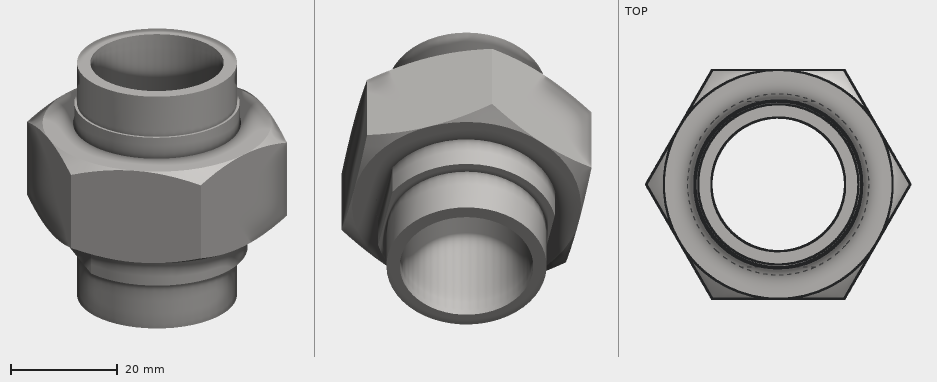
import cadquery as cq
import math


bore_diameter = 25.0
pipe_diameter = 30.0
body_diameter = 34.0
across_body_flats = 31.0

collar_diameter = across_body_flats
collar_clearance = 0.25
nut_opening_diameter = collar_diameter + 2 * collar_clearance

across_corners = 49.55
across_flats = across_corners * math.cos(math.radians(30))
chamfer_angle = 30.0

body_bottom = 9.8
nut_bottom = 16.55
nut_top = 35.5
collar_top = 39.75
total_height = 48.0

lip_thickness = 3.95
shoulder_thickness = 3.95
lip_bottom = nut_top - lip_thickness
seat_height = lip_bottom - shoulder_thickness


def cylinder(diameter, bottom, top):
    return cq.Workplane("XY").workplane(offset=bottom).circle(diameter / 2).extrude(top - bottom)


def chamfer_envelope():
    """Solid of revolution whose conical ends trim the hexagon corners."""
    face_radius = across_flats / 2
    corner_radius = across_corners / 2
    drop = (corner_radius - face_radius) * math.tan(math.radians(chamfer_angle))
    return (
        cq.Workplane("XZ")
        .moveTo(0, nut_bottom)
        .lineTo(face_radius, nut_bottom)
        .lineTo(corner_radius, nut_bottom + drop)
        .lineTo(corner_radius, nut_top - drop)
        .lineTo(face_radius, nut_top)
        .lineTo(0, nut_top)
        .close()
        .revolve(360, (0, 0, 0), (0, 1, 0))
    )


def make_nut():
    hexagon = (
        cq.Workplane("XY")
        .workplane(offset=nut_bottom)
        .polygon(6, across_corners)
        .extrude(nut_top - nut_bottom)
    )
    nut = hexagon.intersect(chamfer_envelope())
    nut = nut.cut(cylinder(body_diameter, nut_bottom, lip_bottom))
    return nut.cut(cylinder(nut_opening_diameter, lip_bottom, nut_top))


def make_upper_tail():
    shoulder = cylinder(body_diameter, seat_height, lip_bottom)
    collar = cylinder(collar_diameter, lip_bottom, collar_top)
    pipe = cylinder(pipe_diameter, collar_top, total_height)
    bore = cylinder(bore_diameter, seat_height, total_height)
    return shoulder.union(collar).union(pipe).cut(bore)


def make_lower_tail():
    flat_height = nut_bottom - body_bottom
    flats = (
        cq.Workplane("XY")
        .workplane(offset=body_bottom)
        .rect(body_diameter, across_body_flats)
        .extrude(flat_height)
    )
    flatted_body = cylinder(body_diameter, body_bottom, nut_bottom).intersect(flats)
    round_body = cylinder(body_diameter, nut_bottom, seat_height)
    pipe = cylinder(pipe_diameter, 0, body_bottom)
    bore = cylinder(bore_diameter, 0, seat_height)
    return pipe.union(flatted_body).union(round_body).cut(bore)


nut = make_nut()
upper_tail = make_upper_tail()
lower_tail = make_lower_tail()

result = cq.Compound.makeCompound([nut.val(), upper_tail.val(), lower_tail.val()])